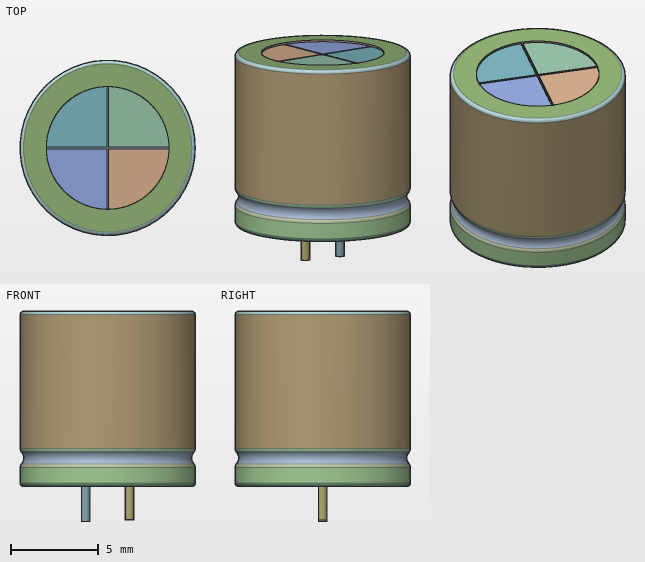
import cadquery as cq
import math

can_diameter = 10.0
can_height = 10.0
can_radius = can_diameter / 2
rim_fillet = 0.2

bead_height = 1.63
bead_depth = 0.2
bead_radius = 0.5
bead_edge_radius = 0.3

vent_diameter = 7.0
vent_depth = 0.1
score_width = 0.1
score_depth = 0.1

lead_diameter = 0.5
lead_pitch = 2.5
long_lead_length = 2.0
short_lead_length = 1.9


def arc_to(sketch, center, radius, start_angle, end_angle):
    """Continue a profile along a circular arc, angles in degrees."""
    def point(angle):
        turn = math.radians(angle)
        return (center[0] + radius * math.cos(turn), center[1] + radius * math.sin(turn))

    return sketch.threePointArc(point((start_angle + end_angle) / 2), point(end_angle))


def make_can():
    """Revolve the can's half section, with its rounded rims and crimp bead."""
    bead_center = can_radius - bead_depth + bead_radius
    edge_center = can_radius - bead_edge_radius
    center_distance = bead_radius + bead_edge_radius
    center_rise = math.sqrt(center_distance**2 - (bead_center - edge_center) ** 2)
    tangent_angle = math.degrees(math.asin(center_rise / center_distance))
    rim_center = can_radius - rim_fillet

    section = cq.Workplane("XZ").lineTo(rim_center, 0)
    section = arc_to(section, (rim_center, rim_fillet), rim_fillet, -90, 0)
    section = section.lineTo(can_radius, bead_height - center_rise)
    section = arc_to(section, (edge_center, bead_height - center_rise), bead_edge_radius, 0, tangent_angle)
    bead_angles = (180 + tangent_angle, 180 - tangent_angle)
    section = arc_to(section, (bead_center, bead_height), bead_radius, *bead_angles)
    section = arc_to(section, (edge_center, bead_height + center_rise), bead_edge_radius, -tangent_angle, 0)
    section = section.lineTo(can_radius, can_height - rim_fillet)
    section = arc_to(section, (rim_center, can_height - rim_fillet), rim_fillet, 0, 90)
    return section.lineTo(0, can_height).close().revolve(360, (0, 0), (0, 1))


def make_vent_cut():
    """Shallow round recess whose floor is scored by a cross reaching its wall."""
    recess_floor = can_height - vent_depth
    recess = cq.Workplane("XY", origin=(0, 0, recess_floor)).circle(vent_diameter / 2).extrude(vent_depth)
    cross_plane = cq.Workplane("XY", origin=(0, 0, recess_floor - score_depth))
    cross = cross_plane.rect(vent_diameter, score_width).extrude(score_depth)
    cross = cross.union(cross_plane.rect(score_width, vent_diameter).extrude(score_depth))
    disc = cross_plane.circle(vent_diameter / 2).extrude(score_depth)
    return recess.union(cross.intersect(disc))


def make_lead(x, length):
    """Round lead hanging from the underside of the can."""
    return cq.Workplane("XY").center(x, 0).circle(lead_diameter / 2).extrude(-length)


result = make_can().cut(make_vent_cut())
for lead_x, lead_length in ((-lead_pitch / 2, long_lead_length), (lead_pitch / 2, short_lead_length)):
    result = result.union(make_lead(lead_x, lead_length))